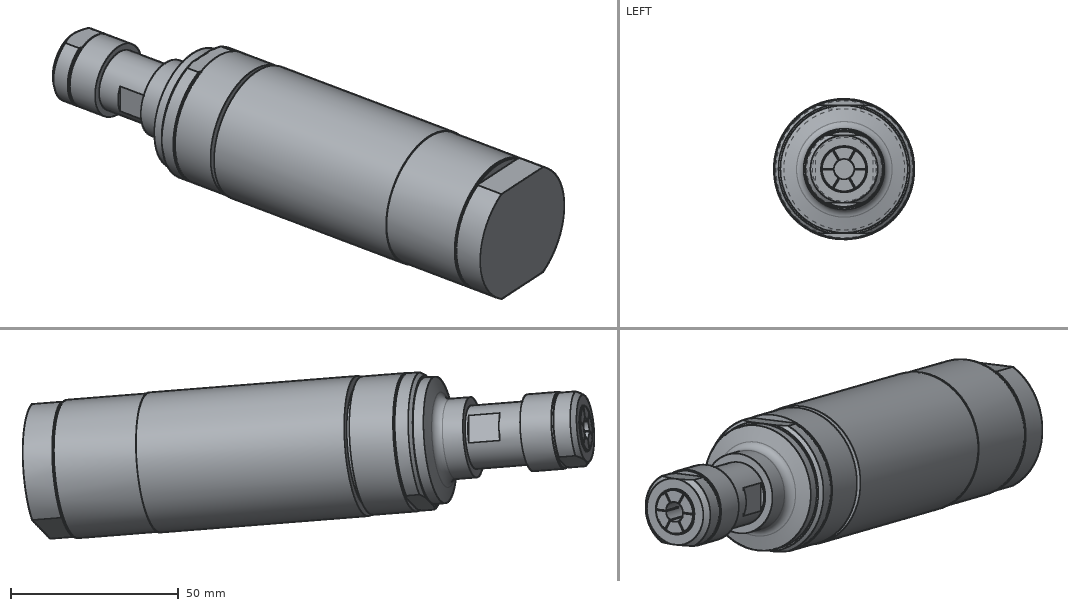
import cadquery as cq

LENGTH = 168.5

NUT_DIA = 23.0
NUT_FACE_DIA = 20.0
NUT_FACE = 0.3
NUT_CHAMFER_END = 1.9
NUT_FLAT_END = 7.5
NUT_ACROSS_FLATS = 20.0
NUT_GROOVE_START = 7.0
NUT_GROOVE_WIDTH = 0.7
NUT_GROOVE_DIA = 22.4
NUT_MOUTH_DIA = 13.8
NUT_END = 17.3

COLLET_DIA = 13.1
COLLET_BORE_DIA = 6.0
COLLET_GAP_END = 0.8
COLLET_BORE_DEPTH = 25.3
SLIT_COUNT = 6
SLIT_WIDTH = 0.3
SLIT_DEPTH = 6.7

SHAFT_DIA = 19.0
SHAFT_END = 34.9
SHAFT_FLAT_START = 24.5
SHAFT_FLAT_END = 34.0
SHAFT_ACROSS_FLATS = 17.0

COLLAR_DIA = 24.0
COLLAR_END = 41.3
FLARE_DIA = 28.5
FLARE_END = 44.0
FLANGE_DIA = 37.9
FLANGE_START = 45.1
FLANGE_END = 48.3

CAP_DIA = 41.5
CAP_FACE_DIA = 39.0
CAP_CHAMFER_END = 49.3
CAP_FLAT_END = 54.0
CAP_ACROSS_FLATS = 38.0
CAP_GROOVE_WIDTH = 0.5
CAP_GROOVE_DIA = 40.8
CAP_END = 67.5

NECK_DIA = 36.0

SLEEVE_DIA = 42.0
SLEEVE_START = 69.0
SLEEVE_END = 133.4

REAR_DIA = CAP_DIA
REAR_FLAT_START = 159.3
REAR_ACROSS_FLATS = 36.0
REAR_GROOVE_WIDTH = 0.5
REAR_GROOVE_DIA = 40.8

FACING_Y = (1, 0)
FACING_Z = (0, 1)


def revolved_body():
    """Outer profile, drawn as (X, radius) and turned about the X axis."""
    profile = (
        cq.Workplane("XY")
        .moveTo(0, 0)
        .lineTo(0, COLLET_DIA / 2)
        .lineTo(COLLET_GAP_END, COLLET_DIA / 2)
        .lineTo(COLLET_GAP_END, NUT_MOUTH_DIA / 2)
        .lineTo(NUT_FACE, NUT_MOUTH_DIA / 2)
        .lineTo(NUT_FACE, NUT_FACE_DIA / 2)
        .lineTo(NUT_CHAMFER_END, NUT_DIA / 2)
        .lineTo(NUT_END, NUT_DIA / 2)
        .lineTo(NUT_END, SHAFT_DIA / 2)
        .lineTo(SHAFT_END, SHAFT_DIA / 2)
        .lineTo(SHAFT_END, COLLAR_DIA / 2)
        .lineTo(COLLAR_END, COLLAR_DIA / 2)
        .tangentArcPoint((FLARE_END, FLARE_DIA / 2), relative=False)
        .lineTo(FLANGE_START, FLANGE_DIA / 2)
        .lineTo(FLANGE_END, FLANGE_DIA / 2)
        .lineTo(FLANGE_END, CAP_FACE_DIA / 2)
        .lineTo(CAP_CHAMFER_END, CAP_DIA / 2)
        .lineTo(CAP_END, CAP_DIA / 2)
        .lineTo(CAP_END, NECK_DIA / 2)
        .lineTo(SLEEVE_START, NECK_DIA / 2)
        .lineTo(SLEEVE_START, SLEEVE_DIA / 2)
        .lineTo(SLEEVE_END, SLEEVE_DIA / 2)
        .lineTo(SLEEVE_END, REAR_DIA / 2)
        .lineTo(LENGTH, REAR_DIA / 2)
        .lineTo(LENGTH, 0)
        .close()
    )
    return profile.revolve(360, (0, 0, 0), (1, 0, 0))


def disc(start, end, diameter):
    """Cylinder on the X axis between two X positions."""
    return cq.Workplane("YZ", origin=(start, 0, 0)).circle(diameter / 2).extrude(end - start)


def ring(start, end, inner_diameter):
    """Cutter that leaves a groove of the given floor diameter."""
    return disc(start, end, SLEEVE_DIA).cut(disc(start, end, inner_diameter))


def flats(start, end, across, direction):
    """Cutters for a pair of opposite flats facing +/- the unit direction (y, z)."""
    slab = SLEEVE_DIA
    cutters = cq.Workplane("XY")
    for side in (1, -1):
        offset = side * (across + slab) / 2
        centre = ((start + end) / 2, direction[0] * offset, direction[1] * offset)
        cutters = cutters.add(cq.Workplane("XY", origin=centre).box(end - start, slab, slab))
    return cutters.combine()


def collet_slits():
    """Thin radial slits that divide the collet into jaws."""
    blades = cq.Workplane("XY")
    for index in range(SLIT_COUNT // 2):
        blade = cq.Workplane("XY").box(SLIT_DEPTH, COLLET_DIA, SLIT_WIDTH)
        angle = index * 360 / SLIT_COUNT
        blades = blades.union(blade.rotate((0, 0, 0), (1, 0, 0), angle))
    return blades.translate((SLIT_DEPTH / 2, 0, 0))


result = revolved_body()

result = result.cut(ring(NUT_GROOVE_START, NUT_GROOVE_START + NUT_GROOVE_WIDTH, NUT_GROOVE_DIA))
result = result.cut(ring(CAP_FLAT_END - CAP_GROOVE_WIDTH, CAP_FLAT_END, CAP_GROOVE_DIA))
result = result.cut(ring(REAR_FLAT_START - REAR_GROOVE_WIDTH, REAR_FLAT_START, REAR_GROOVE_DIA))

result = result.cut(flats(NUT_FACE, NUT_FLAT_END, NUT_ACROSS_FLATS, FACING_Z))
result = result.cut(flats(SHAFT_FLAT_START, SHAFT_FLAT_END, SHAFT_ACROSS_FLATS, FACING_Y))
result = result.cut(flats(FLANGE_END, CAP_FLAT_END, CAP_ACROSS_FLATS, FACING_Z))
result = result.cut(flats(REAR_FLAT_START, LENGTH, REAR_ACROSS_FLATS, FACING_Z))

result = result.cut(disc(0, COLLET_BORE_DEPTH, COLLET_BORE_DIA))
result = result.cut(collet_slits())